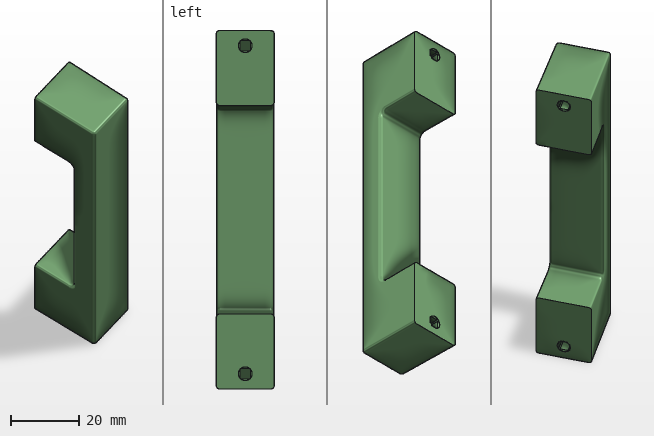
import cadquery as cq

depth = 22.0
base_width = 17.0
base_length = 105.0
draft_angle = 0.5

leg_length = 22.0
grip_thickness = 8.0
opening_corner_radius = 2.0
opening_length = base_length - 2 * leg_length
opening_depth = depth - grip_thickness

edge_radius = 1.0

hole_spacing = 96.0
bore_diameter = 4.0
across_flats = 3.15
hole_depth = 12.0
flat_chamfer_angle = 45.0


def tapered_block():
    """Solid block whose four side walls draft inward toward the grip face."""
    return cq.Workplane("YZ").rect(base_width, base_length).extrude(depth, taper=draft_angle)


def finger_opening():
    """Cutter for the opening, with its two inner corners rounded."""
    return (
        cq.Workplane("XY")
        .box(opening_depth, 2 * base_width, opening_length, centered=(False, True, True))
        .edges(">X and |Y")
        .fillet(opening_corner_radius)
    )


def round_edges(body):
    """Round the outer edges and the rims of the opening.

    The edges of the mounting face and those running across the opening stay sharp.
    """
    opening_region = cq.selectors.BoxSelector(
        (-edge_radius, -base_width, -opening_length / 2 - edge_radius),
        (opening_depth + edge_radius, base_width, opening_length / 2 + edge_radius),
    )
    crossing_edges = body.edges("|Y").edges(opening_region)
    sharp_edges = body.faces("<X").edges().add(crossing_edges).vals()
    rounded_edges = [
        edge for edge in body.edges().vals() if not any(edge.isSame(sharp) for sharp in sharp_edges)
    ]
    return body.newObject(rounded_edges).fillet(edge_radius)


def screw_hole(height):
    """Cutter for one blind hole opening on the mounting face."""
    mouth = cq.Workplane("YZ").center(0, height)
    bore = mouth.circle(bore_diameter / 2).extrude(hole_depth)
    flats = mouth.rect(across_flats, across_flats).extrude(hole_depth)
    flat_chamfers = mouth.rect(bore_diameter, bore_diameter).extrude(
        (bore_diameter - across_flats) / 2, taper=flat_chamfer_angle
    )
    return flats.union(flat_chamfers).intersect(bore)


result = round_edges(tapered_block().cut(finger_opening()))
for side in (-1, 1):
    result = result.cut(screw_hole(side * hole_spacing / 2))